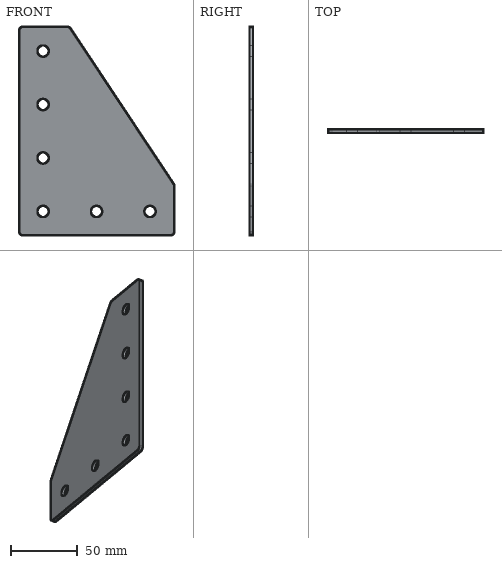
import cadquery as cq

height = 156.0
width = 116.0
thickness = 3.0
corner_radius = 3.0

top_edge = 37.6
right_edge = 37.8

hole_diameter = 8.3
hole_pitch = 40.0
edge_distance = 18.0
upright_holes = 4
base_holes = 3

outline = [
    (0, 0),
    (width, 0),
    (width, right_edge),
    (top_edge, height),
    (0, height),
]


def make_plate():
    plate = cq.Workplane("XZ").polyline(outline).close().extrude(-thickness)
    return plate.edges("|Y").fillet(corner_radius)


def hole_centres():
    upright = [(edge_distance, edge_distance + i * hole_pitch) for i in range(upright_holes)]
    base = [(edge_distance + i * hole_pitch, edge_distance) for i in range(1, base_holes)]
    return upright + base


def make_holes():
    return (
        cq.Workplane("XZ")
        .pushPoints(hole_centres())
        .circle(hole_diameter / 2)
        .extrude(-thickness)
    )


result = make_plate().cut(make_holes())